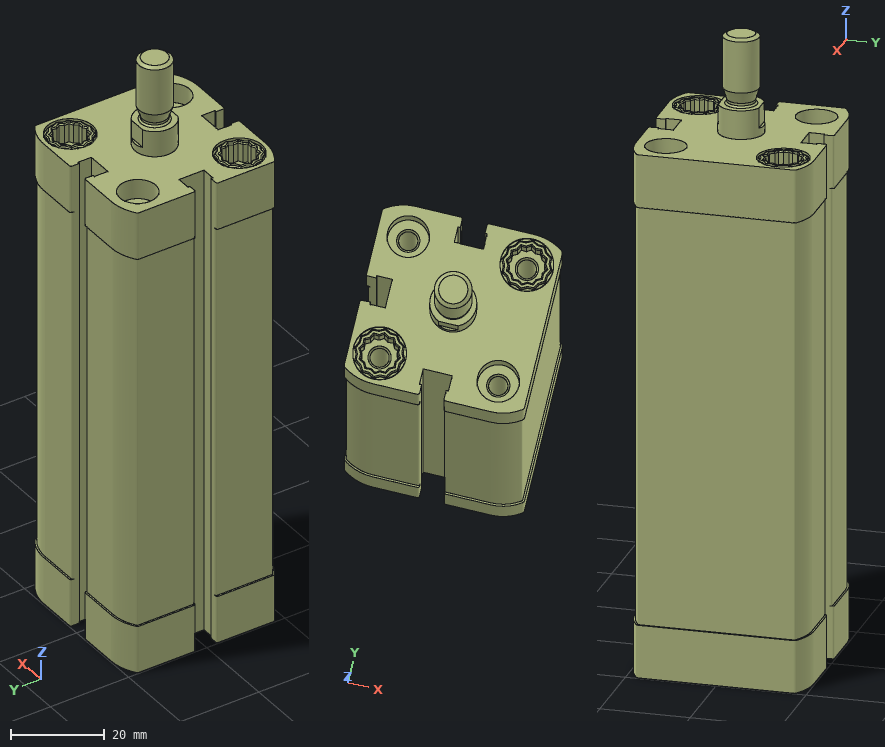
import cadquery as cq
import math

TOTAL_HEIGHT = 141.3
CAP_SIDE = 39.5
HOUSING_HEIGHT = 119.0
CAP_HEIGHT = 12.0
TUBE_INSET = 0.4

CORNER_RADIUS = 11.3
CORNER_ARC_START = 13.0
CAP_EDGE_FILLET = 0.8
TUBE_EDGE_FILLET = 0.4

SLOT_DEPTH = 5.7
SLOT_LIP = 2.3
SLOT_OPENING = 5.4
SLOT_WIDTH = 6.4
SLOT_MOUTH_RADIUS = 0.4
SLOT_ANGLES = [90, 180, 270]

HOLE_OFFSET = 13.0
HOLE_DIAMETER = 4.1
HOLE_MOUTH_DIAMETER = 5.0
COUNTERBORE_DEPTH = 5.0
BORE_FLOOR = HOUSING_HEIGHT - COUNTERBORE_DEPTH
PLAIN_BORE_DIAMETER = 9.0
PLAIN_CORNERS = [(-HOLE_OFFSET, HOLE_OFFSET), (HOLE_OFFSET, -HOLE_OFFSET)]
TOOTHED_CORNERS = [(-HOLE_OFFSET, -HOLE_OFFSET), (HOLE_OFFSET, HOLE_OFFSET)]

RING_POCKET_DIAMETER = 11.5
RING_GROOVE_DEPTH = 0.7
RING_TIP_DIAMETER = 11.0
RING_ROOT_DIAMETER = 10.0
BORE_ROOT_DIAMETER = 8.5
BORE_TIP_DIAMETER = 7.5
RING_CHAMFER = 0.3
TOOTH_COUNT = 12

ROD_DIAMETER = 10.0
SHOULDER_HEIGHT = 125.5
NECK_DIAMETER = 6.2
NECK_BOTTOM = 125.9
NECK_BASE_DIAMETER = 7.0
NECK_TOP = 126.5
TAPER_BOTTOM = 126.9
TAPER_DIAMETER = 6.5
THREAD_BOTTOM = 129.1
THREAD_DIAMETER = 8.0
TIP_DIAMETER = 6.2
TIP_HEIGHT = 0.5
FLATS_WIDTH = 9.0
FLATS_HEIGHT = 4.5
FLATS_RUNOUT_SLOPE = 0.4
ROD_BOTTOM = HOUSING_HEIGHT - CAP_HEIGHT


def rounded_block(side, arc_radius, edge_fillet, bottom, height):
    """Square prism whose corners are large arcs tangent to the +Y and -Y faces."""
    half = side / 2
    arc_centre_y = half - arc_radius
    run = half - CORNER_ARC_START
    corner_y = arc_centre_y + math.sqrt(arc_radius**2 - run**2)
    mid_angle = (math.pi / 2 + math.atan2(corner_y - arc_centre_y, run)) / 2
    mid_x = CORNER_ARC_START + arc_radius * math.cos(mid_angle)
    mid_y = arc_centre_y + arc_radius * math.sin(mid_angle)
    block = (
        cq.Workplane("XY", origin=(0, 0, bottom))
        .moveTo(-CORNER_ARC_START, half)
        .lineTo(CORNER_ARC_START, half)
        .threePointArc((mid_x, mid_y), (half, corner_y))
        .lineTo(half, -corner_y)
        .threePointArc((mid_x, -mid_y), (CORNER_ARC_START, -half))
        .lineTo(-CORNER_ARC_START, -half)
        .threePointArc((-mid_x, -mid_y), (-half, -corner_y))
        .lineTo(-half, corner_y)
        .threePointArc((-mid_x, mid_y), (-CORNER_ARC_START, half))
        .close()
        .extrude(height)
    )
    corner_points = [(x, y) for x in (-half, half) for y in (-corner_y, corner_y)]
    for x, y in corner_points:
        edge = cq.selectors.NearestToPointSelector((x, y, bottom + height / 2))
        block = block.edges("|Z").edges(edge).fillet(edge_fillet)
    return block


def t_slot(angle, side, bottom, height):
    """Cutter for a T-slot with a rounded mouth in one face of a block of the given width."""
    face = side / 2
    floor = CAP_SIDE / 2 - SLOT_DEPTH
    lip = CAP_SIDE / 2 - SLOT_LIP
    opening = SLOT_OPENING / 2
    undercut = SLOT_WIDTH / 2
    mouth_start = face - SLOT_MOUTH_RADIUS
    mouth_end = opening + SLOT_MOUTH_RADIUS
    bulge = SLOT_MOUTH_RADIUS * math.sqrt(0.5)
    mouth_mid = (mouth_start + bulge, mouth_end - bulge)
    return (
        cq.Workplane("XY", origin=(0, 0, bottom))
        .moveTo(floor, -undercut)
        .lineTo(floor, undercut)
        .lineTo(lip, undercut)
        .lineTo(lip, opening)
        .lineTo(mouth_start, opening)
        .threePointArc(mouth_mid, (face, mouth_end))
        .lineTo(face, -mouth_end)
        .threePointArc((mouth_mid[0], -mouth_mid[1]), (mouth_start, -opening))
        .lineTo(lip, -opening)
        .lineTo(lip, -undercut)
        .close()
        .extrude(height)
        .rotate((0, 0, 0), (0, 0, 1), angle)
    )


def turned(points):
    """Solid of revolution about Z from (radius, height) points."""
    return cq.Workplane("XZ").polyline(points).close().revolve(360, (0, 0), (0, 1))


def cylinder(diameter, bottom, top):
    return cq.Workplane("XY", origin=(0, 0, bottom)).circle(diameter / 2).extrude(top - bottom)


def toothed_prism(outer_diameter, inner_diameter):
    """Star-shaped prism as deep as the counterbore, with an outer point on the X axis."""
    half_pitch = math.pi / TOOTH_COUNT
    points = []
    for i in range(2 * TOOTH_COUNT):
        diameter = inner_diameter if i % 2 else outer_diameter
        angle = i * half_pitch
        points.append((diameter / 2 * math.cos(angle), diameter / 2 * math.sin(angle)))
    base = cq.Workplane("XY", origin=(0, 0, BORE_FLOOR))
    return base.polyline(points).close().extrude(COUNTERBORE_DEPTH)


def through_hole():
    """Cutter for a through hole with a 45-degree mouth in the counterbore floor."""
    hole = HOLE_DIAMETER / 2
    mouth = HOLE_MOUTH_DIAMETER / 2
    return turned([
        (0, 0),
        (hole, 0),
        (hole, BORE_FLOOR - (mouth - hole)),
        (mouth, BORE_FLOOR),
        (0, BORE_FLOOR),
    ])


def toothed_ring():
    """Ring with V-shaped teeth inside and outside, chamfered along both top edges."""
    outside = toothed_prism(RING_TIP_DIAMETER, RING_ROOT_DIAMETER)
    bore = toothed_prism(BORE_ROOT_DIAMETER, BORE_TIP_DIAMETER)
    return outside.cut(bore).faces(">Z").edges().chamfer(RING_CHAMFER)


def ring_pocket():
    """Cutter for a ring's bore and the shallow groove around the ring."""
    groove_floor = HOUSING_HEIGHT - RING_GROOVE_DEPTH
    groove = cylinder(RING_POCKET_DIAMETER, groove_floor, HOUSING_HEIGHT)
    bore = cylinder(BORE_ROOT_DIAMETER, BORE_FLOOR, HOUSING_HEIGHT)
    return groove.union(bore).cut(toothed_ring())


def slotted_block(side, arc_radius, edge_fillet, bottom, height):
    block = rounded_block(side, arc_radius, edge_fillet, bottom, height)
    for angle in SLOT_ANGLES:
        block = block.cut(t_slot(angle, side, bottom, height))
    return block


def make_housing():
    housing = slotted_block(
        CAP_SIDE - 2 * TUBE_INSET,
        CORNER_RADIUS - TUBE_INSET,
        TUBE_EDGE_FILLET,
        CAP_HEIGHT,
        HOUSING_HEIGHT - 2 * CAP_HEIGHT,
    )
    for bottom in (0, HOUSING_HEIGHT - CAP_HEIGHT):
        housing = housing.union(slotted_block(CAP_SIDE, CORNER_RADIUS, CAP_EDGE_FILLET, bottom, CAP_HEIGHT))

    plain_bore = cylinder(PLAIN_BORE_DIAMETER, BORE_FLOOR, HOUSING_HEIGHT)
    for x, y in PLAIN_CORNERS:
        for cutter in (through_hole(), plain_bore):
            housing = housing.cut(cutter.translate((x, y, 0)))
    for x, y in TOOTHED_CORNERS:
        for cutter in (through_hole(), ring_pocket()):
            housing = housing.cut(cutter.translate((x, y, 0)))

    return housing.cut(cylinder(ROD_DIAMETER, ROD_BOTTOM, HOUSING_HEIGHT))


def make_rod():
    rod = turned([
        (0, ROD_BOTTOM),
        (ROD_DIAMETER / 2, ROD_BOTTOM),
        (ROD_DIAMETER / 2, SHOULDER_HEIGHT),
        (NECK_BASE_DIAMETER / 2, SHOULDER_HEIGHT),
        (NECK_DIAMETER / 2, NECK_BOTTOM),
        (NECK_DIAMETER / 2, NECK_TOP),
        (TAPER_DIAMETER / 2, TAPER_BOTTOM),
        (THREAD_DIAMETER / 2, THREAD_BOTTOM),
        (THREAD_DIAMETER / 2, TOTAL_HEIGHT - TIP_HEIGHT),
        (TIP_DIAMETER / 2, TOTAL_HEIGHT),
        (0, TOTAL_HEIGHT),
    ])
    flat = FLATS_WIDTH / 2
    bottom = SHOULDER_HEIGHT - FLATS_HEIGHT
    flat_cutter = (
        cq.Workplane("YZ", origin=(-ROD_DIAMETER / 2, 0, 0))
        .polyline([
            (flat, bottom),
            (flat, SHOULDER_HEIGHT),
            (ROD_DIAMETER, SHOULDER_HEIGHT),
            (ROD_DIAMETER, bottom - FLATS_RUNOUT_SLOPE * (ROD_DIAMETER - flat)),
        ])
        .close()
        .extrude(ROD_DIAMETER)
    )
    for cutter in (flat_cutter, flat_cutter.mirror("XZ")):
        rod = rod.cut(cutter)
    return rod


housing = make_housing()
rod = make_rod()
result = cq.Compound.makeCompound([housing.val(), rod.val()])